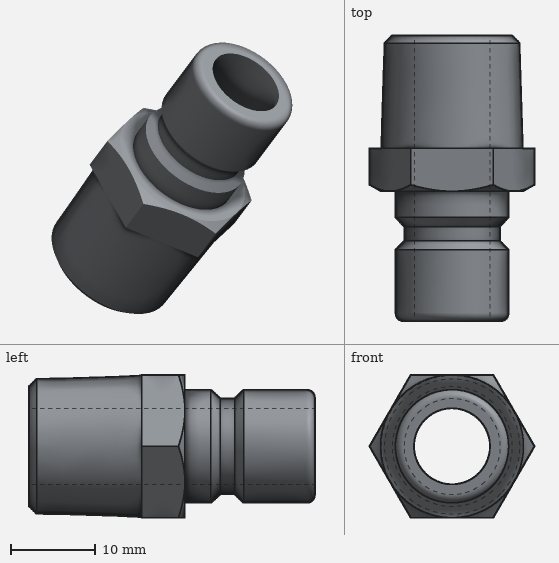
import cadquery as cq
import math

length = 34.0
bore_diameter = 9.0

plug_radius = 6.73
plug_nose_fillet = 1.0
groove_radius = 5.7
groove_start = 8.5
groove_floor_start = 9.55
groove_floor_end = 11.25
groove_end = 12.38

hex_across_flats = 17.0
hex_start = 15.47
hex_end = 20.57
hex_chamfer_angle = 30.0
envelope_clearance = 0.35

thread_base_radius = 8.43
taper_per_side = 1 / 32
thread_chamfer = 0.92

hex_across_corners = hex_across_flats / math.cos(math.radians(30))


def revolve_profile(points):
    """Revolve (radius, position) points around the Y axis."""
    return cq.Workplane("XY").polyline(points).close().revolve(360, (0, 0, 0), (0, 1, 0))


def cylinder_along_y(radius, start, end):
    return cq.Workplane("XZ", origin=(0, start, 0)).circle(radius).extrude(start - end)


def make_plug():
    """Front plug with a rounded nose and a locking groove."""
    plug = revolve_profile([
        (0, 0),
        (plug_radius, 0),
        (plug_radius, groove_start),
        (groove_radius, groove_floor_start),
        (groove_radius, groove_floor_end),
        (plug_radius, groove_end),
        (plug_radius, hex_start),
        (0, hex_start),
    ])
    return plug.faces("<Y").edges().fillet(plug_nose_fillet)


def make_hexagon():
    """Hexagon with corners on X, its front corners cut by a cone."""
    prism = (
        cq.Workplane("XZ", origin=(0, hex_start, 0))
        .polygon(6, hex_across_corners)
        .extrude(hex_start - hex_end)
    )
    inner_radius = hex_across_flats / 2
    outer_radius = hex_across_corners / 2 + envelope_clearance
    cone_depth = (outer_radius - inner_radius) * math.tan(math.radians(hex_chamfer_angle))
    envelope = revolve_profile([
        (0, hex_start),
        (inner_radius, hex_start),
        (outer_radius, hex_start + cone_depth),
        (outer_radius, hex_end),
        (0, hex_end),
    ])
    return prism.intersect(envelope)


def thread_radius(position):
    return thread_base_radius - (position - hex_end) * taper_per_side


def make_thread():
    """Tapered thread body with a chamfered rear end."""
    chamfer_start = length - thread_chamfer
    return revolve_profile([
        (0, hex_end),
        (thread_base_radius, hex_end),
        (thread_radius(chamfer_start), chamfer_start),
        (thread_radius(chamfer_start) - thread_chamfer, length),
        (0, length),
    ])


bore = cylinder_along_y(bore_diameter / 2, 0, length)
result = make_plug().union(make_hexagon()).union(make_thread()).cut(bore)